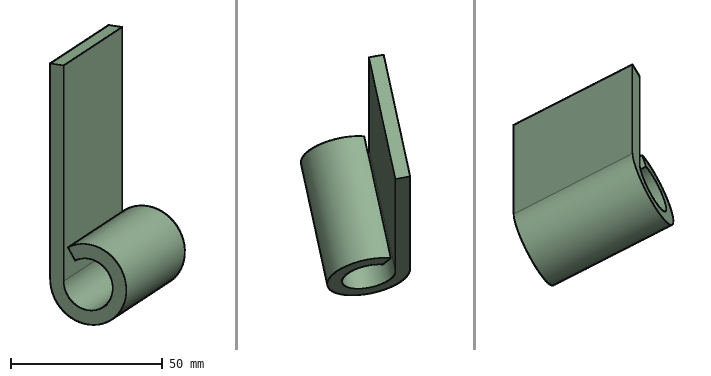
import cadquery as cq
import math

thickness = 5.0
width = 45.0
leaf_height = 75.0
inner_radius = 9.0
end_angle = 122.0

outer_radius = inner_radius + thickness


def on_curl(radius, angle):
    """Point in the XZ plane on a circle around the curl axis."""
    radians = math.radians(angle)
    return (radius * math.cos(radians), radius * math.sin(radians))


def curled_leaf():
    """Flat leaf that rolls into an open curl around the Y axis at the origin."""
    bottom_angle = -90.0
    profile = (
        cq.Workplane("XZ")
        .moveTo(-inner_radius, leaf_height)
        .lineTo(-outer_radius, leaf_height)
        .lineTo(-outer_radius, 0)
        .threePointArc(on_curl(outer_radius, bottom_angle), on_curl(outer_radius, end_angle))
        .lineTo(*on_curl(inner_radius, end_angle))
        .threePointArc(on_curl(inner_radius, bottom_angle), (-inner_radius, 0))
        .close()
    )
    return profile.extrude(width / 2, both=True)


result = curled_leaf()